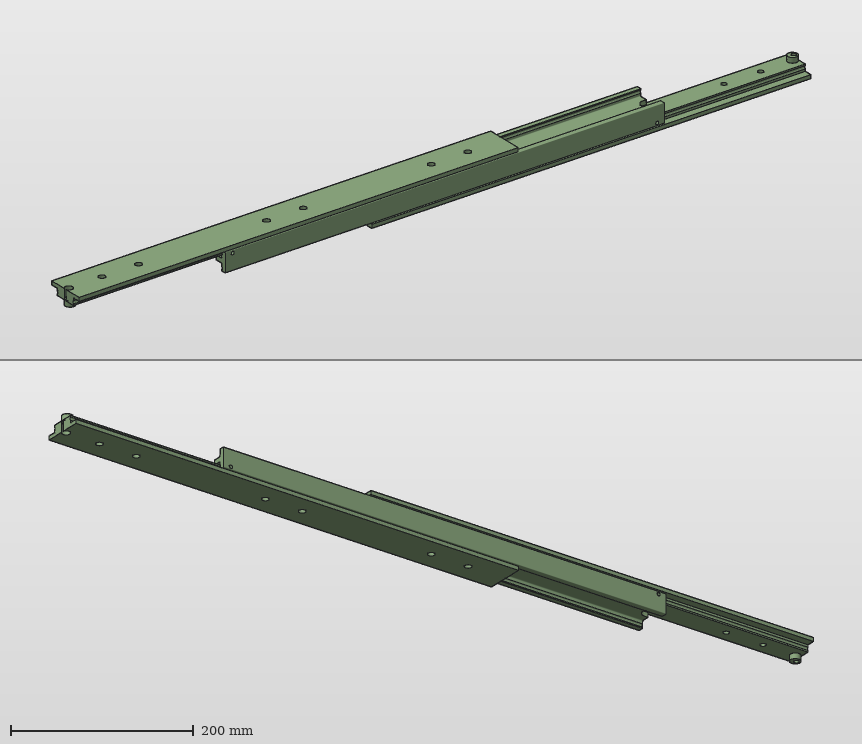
import cadquery as cq

TOTAL_LENGTH = 1000.0
TOTAL_HEIGHT = 38.0
WIDTH = 50.0
MEMBER_LENGTH = 600.0
RAIL_OFFSET = (TOTAL_LENGTH - MEMBER_LENGTH) / 2

BEAM_HEIGHT = 25.0
BEAM_INNER_WIDTH = 36.0
WEB_THICKNESS = 6.0
WEB_FILLET = 1.0
OUTER_EDGE_RADIUS = 0.6
NOTCH_WIDTH = 16.0
NOTCH_DEPTH = 13.0
PIN_HOLE_DIAMETER = 4.0
PIN_HOLE_INSET = 10.0

FLANGE_THICKNESS = 5.0
NECK_WIDTH = 30.0
NECK_HEIGHT = 9.0
MOUNT_HOLE_DIAMETER = 7.0
MOUNT_BORE_DIAMETER = 8.5
MOUNT_BORE_DEPTH = 7.0
MOUNT_HOLE_SPACING = 50.0
MOUNT_GROUP_CENTRES = [-225.0, 0.0, 225.0]

STUD_DIAMETER = 13.0
STUD_HEIGHT = 7.0
STUD_INSET = 6.4
STUD_HOLE_DIAMETER = 6.0
STUD_BORE_DIAMETER = 10.0
STUD_BORE_DEPTH = 13.0
STUD_HOLE_INSET = 4.8

TRACK_RADIUS = 2.5
TRACK_X = (BEAM_INNER_WIDTH + NECK_WIDTH) / 4
TRACK_Z = 9.0

RAIL_TOP = TOTAL_HEIGHT / 2
FLANGE_BOTTOM = RAIL_TOP - FLANGE_THICKNESS
NECK_BOTTOM = FLANGE_BOTTOM - NECK_HEIGHT
STUD_BOTTOM = NECK_BOTTOM - STUD_HEIGHT
BEAM_TOP = BEAM_HEIGHT / 2
WEB_TOP = WEB_THICKNESS / 2
MEMBER_END = MEMBER_LENGTH / 2


def block(width, length, z_low, z_high):
    """Box centred on the Z axis, between two heights."""
    return cq.Workplane("XY").workplane(offset=z_low).rect(width, length).extrude(z_high - z_low)


def upright(diameter, y, z_low, z_high):
    """Vertical cylinder at x = 0, between two heights."""
    return (
        cq.Workplane("XY").workplane(offset=z_low)
        .center(0, y).circle(diameter / 2).extrude(z_high - z_low)
    )


def stepped_hole(y, hole_diameter, bore_diameter, bore_depth, z_low):
    """Cutter for a hole down from the flange face, with a wider bore at its top."""
    hole = upright(hole_diameter, y, z_low, RAIL_TOP)
    return hole.union(upright(bore_diameter, y, RAIL_TOP - bore_depth, RAIL_TOP))


def ball_tracks(z):
    """Cutter for a left and a right ball channel along Y at one height."""
    return (
        cq.Workplane("XZ")
        .pushPoints([(-TRACK_X, z), (TRACK_X, z)])
        .circle(TRACK_RADIUS)
        .extrude(MEMBER_END, both=True)
    )


def make_rail():
    """Upper rail, flange on top, pulled out toward -Y with its stop stud at that end."""
    flange = block(WIDTH, MEMBER_LENGTH, FLANGE_BOTTOM, RAIL_TOP)
    neck = block(NECK_WIDTH, MEMBER_LENGTH, NECK_BOTTOM, FLANGE_BOTTOM)
    rail = flange.union(neck).cut(ball_tracks(TRACK_Z))

    for centre in MOUNT_GROUP_CENTRES:
        for side in (-1, 1):
            y = centre + side * MOUNT_HOLE_SPACING / 2
            hole = stepped_hole(y, MOUNT_HOLE_DIAMETER, MOUNT_BORE_DIAMETER, MOUNT_BORE_DEPTH, NECK_BOTTOM)
            rail = rail.cut(hole)

    stud = upright(STUD_DIAMETER, STUD_INSET - MEMBER_END, STUD_BOTTOM, NECK_BOTTOM)
    stud = stud.intersect(block(WIDTH, MEMBER_LENGTH, STUD_BOTTOM, NECK_BOTTOM))
    stud_hole = stepped_hole(
        STUD_HOLE_INSET - MEMBER_END, STUD_HOLE_DIAMETER, STUD_BORE_DIAMETER, STUD_BORE_DEPTH, STUD_BOTTOM
    )
    rail = rail.union(stud).cut(stud_hole)
    return rail.translate((0, -RAIL_OFFSET, 0))


def pin_holes(side):
    """Cutter for holes through both walls into the upper (+1) or lower (-1) ball tracks."""
    y = -side * (MEMBER_END - PIN_HOLE_INSET)
    return (
        cq.Workplane("YZ").center(y, side * TRACK_Z)
        .circle(PIN_HOLE_DIAMETER / 2).extrude(WIDTH / 2, both=True)
    )


def web_notch(side):
    """Cutter for the round-bottomed notch in the web at the +Y (+1) or -Y (-1) end."""
    round_centre = side * (MEMBER_END - NOTCH_DEPTH + NOTCH_WIDTH / 2)
    slot_length = 2 * NOTCH_WIDTH
    return (
        cq.Workplane("XY").center(0, round_centre + side * (slot_length - NOTCH_WIDTH) / 2)
        .slot2D(slot_length, NOTCH_WIDTH, 90).extrude(WEB_TOP, both=True)
    )


def make_beam():
    """Middle beam: two walls joined by a web, with a channel above and below the web."""
    beam = block(WIDTH, MEMBER_LENGTH, -BEAM_TOP, BEAM_TOP).edges("|Y").fillet(OUTER_EDGE_RADIUS)

    upper_channel = block(BEAM_INNER_WIDTH, MEMBER_LENGTH, WEB_TOP, BEAM_TOP)
    upper_channel = upper_channel.edges("|Y and <Z").fillet(WEB_FILLET)
    beam = beam.cut(upper_channel).cut(upper_channel.mirror("XY"))

    for side in (-1, 1):
        beam = beam.cut(ball_tracks(side * TRACK_Z))
        beam = beam.cut(pin_holes(side))
        beam = beam.cut(web_notch(side))
    return beam


beam = make_beam()

rails = []
for turn in (0, 180):
    rails.append(make_rail().rotate((0, 0, 0), (1, 0, 0), turn))

result = cq.Compound.makeCompound([beam.val(), *[rail.val() for rail in rails]])